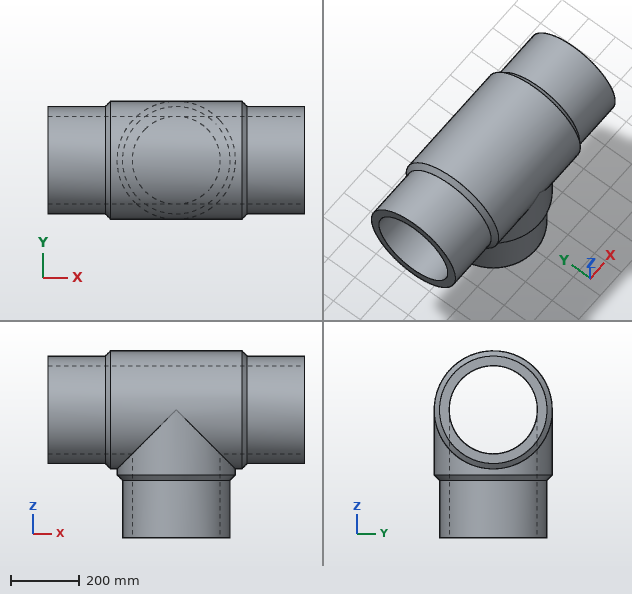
import cadquery as cq

pipe_diameter = 315.0
wall_thickness = 28.6
sleeve_diameter = 346.5
run_half_length = 376.0
branch_length = 375.0
spigot_length = 168.0

pipe_radius = pipe_diameter / 2
bore_radius = pipe_radius - wall_thickness
sleeve_radius = sleeve_diameter / 2
sleeve_chamfer = sleeve_radius - pipe_radius

run_sleeve_half_length = run_half_length - spigot_length
branch_sleeve_length = branch_length - spigot_length


def run_cylinder(radius, half_length):
    """Cylinder along X, centred on the origin."""
    return cq.Workplane("YZ").circle(radius).extrude(half_length, both=True)


def branch_cylinder(radius, length):
    """Cylinder from the run axis straight down along -Z."""
    return cq.Workplane("XY").circle(radius).extrude(-length)


def make_run():
    """Straight pipe with a thicker sleeve chamfered at both ends."""
    sleeve = run_cylinder(sleeve_radius, run_sleeve_half_length)
    sleeve = sleeve.faces("<X or >X").chamfer(sleeve_chamfer)
    return sleeve.union(run_cylinder(pipe_radius, run_half_length))


def make_branch():
    """Downward pipe with a thicker sleeve chamfered at its lower end.

    The upper end is trimmed to the mitre planes where the equal run and branch sleeves meet.
    """
    sleeve = branch_cylinder(sleeve_radius, branch_sleeve_length)
    sleeve = sleeve.faces("<Z").chamfer(sleeve_chamfer)
    branch = sleeve.union(branch_cylinder(pipe_radius, branch_length))
    mitre_wedge = (
        cq.Workplane("XZ")
        .polyline([(0, 0), (branch_length, -branch_length), (-branch_length, -branch_length)])
        .close()
        .extrude(sleeve_diameter, both=True)
    )
    return branch.intersect(mitre_wedge)


def make_bores():
    """Through bore of the run joined by the bore of the branch."""
    return run_cylinder(bore_radius, run_half_length).union(branch_cylinder(bore_radius, branch_length))


result = make_run().union(make_branch()).cut(make_bores())